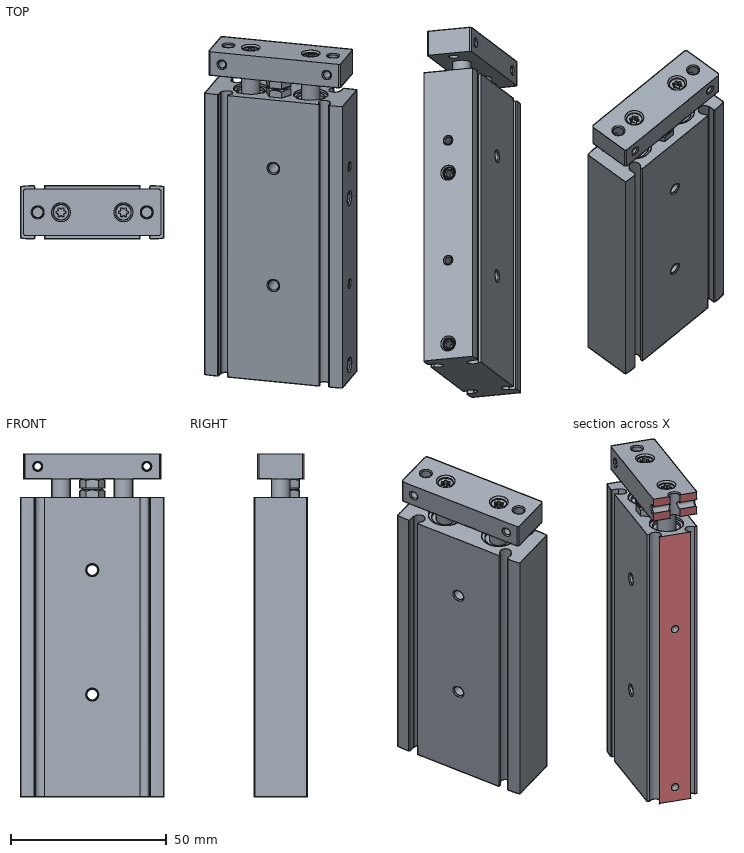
import cadquery as cq
import math


total_height = 110.0
housing_width = 46.0
housing_depth = 17.0
housing_height = 96.0
plate_width = 44.0
plate_depth = 15.0
plate_height = 8.0
plate_corner_chamfer = 0.5
plate_bottom = total_height - plate_height
gap_height = plate_bottom - housing_height

crown_start = 20.1
crown_drop = 0.28

groove_inner_wall = 15.3
groove_outer_wall = 18.4
groove_lip_chamfer = 0.3
groove_bore_diameter = 3.7
groove_bore_x = 16.3
groove_bore_y = 6.0

mount_diameter = 3.4
mount_mouth_diameter = 4.2
lower_mount_z = 32.8
mount_spacing = 39.9
mount_heights = (lower_mount_z, lower_mount_z + mount_spacing)

side_hole_diameter = 2.4
side_hole_mouth_diameter = 3.2
side_hole_depth = 5.0

port_heights = (5.1, 61.9)
port_mouth_diameter = 5.0
port_thread_diameter = 4.0
port_thread_depth = 1.1
port_drill_diameter = 2.4
port_drill_mouth_diameter = 3.2
port_drill_depth = 3.8
drill_half_angle = 59.0

rod_spacing = 20.0
rod_positions = (-rod_spacing / 2, rod_spacing / 2)
rod_diameter = 6.0
rod_insertion = 22.0
rod_end_diameter = 5.0
rod_end_mouth_diameter = 6.0
rod_end_sink = 0.9
socket_core_diameter = 2.2
socket_tip_diameter = 3.2
socket_lobe_diameter = 0.8
socket_lobe_count = 6
socket_depth = 1.6
seal_mouth_diameter = 11.0
seal_mouth_depth = 0.8
seal_seat_diameter = 9.0
seal_seat_depth = 1.6

plate_hole_spacing = 35.0
plate_hole_positions = (-plate_hole_spacing / 2, plate_hole_spacing / 2)
plate_top_hole_diameter = 3.4
plate_top_mouth_diameter = 4.2
plate_cross_hole_diameter = 2.4
plate_cross_mouth_diameter = 3.2

bolt_y = 2.4
hex_across_flats = 7.0
hex_chamfer_diameter = 6.5
hex_chamfer_height = 0.5
nut_height = 3.0
nut_bottom = plate_bottom - nut_height
collar_diameter = 6.5
collar_height = 0.4
bolt_head_height = gap_height - nut_height - collar_height
shank_diameter = 4.0
shank_plate_depth = 4.4


def cylinder_z(x, y, bottom, diameter, height):
    return cq.Workplane("XY", origin=(x, y, bottom)).circle(diameter / 2).extrude(height)


def mouth_cone(origin, inward, mouth_diameter, hole_diameter):
    """A 45-degree countersink that starts at the origin and narrows in the inward direction."""
    depth = (mouth_diameter - hole_diameter) / 2
    return cq.Workplane(obj=cq.Solid.makeCone(
        mouth_diameter / 2, hole_diameter / 2, depth, cq.Vector(*origin), cq.Vector(*inward)
    ))


def countersunk_hole(origin, inward, diameter, mouth_diameter, depth):
    hole = cq.Workplane(obj=cq.Solid.makeCylinder(
        diameter / 2, depth, cq.Vector(*origin), cq.Vector(*inward)
    ))
    return hole.union(mouth_cone(origin, inward, mouth_diameter, diameter))


def through_hole_y(x, z, body_depth, diameter, mouth_diameter):
    """A hole right through along Y, countersunk at both ends."""
    front = (x, -body_depth / 2, z)
    back = (x, body_depth / 2, z)
    hole = countersunk_hole(front, (0, 1, 0), diameter, mouth_diameter, body_depth)
    return hole.union(mouth_cone(back, (0, -1, 0), mouth_diameter, diameter))


def housing_blank():
    """Extruded block whose outer strips curve down to the side faces."""
    half_width = housing_width / 2
    half_depth = housing_depth / 2
    side_y = half_depth - crown_drop
    run = half_width - crown_start
    radius = (run**2 + crown_drop**2) / (2 * crown_drop)
    middle_x = crown_start + run / 2
    middle_y = half_depth - radius + math.sqrt(radius**2 - (run / 2) ** 2)
    return (
        cq.Workplane("XY")
        .moveTo(-crown_start, -half_depth)
        .lineTo(crown_start, -half_depth)
        .threePointArc((middle_x, -middle_y), (half_width, -side_y))
        .lineTo(half_width, side_y)
        .threePointArc((middle_x, middle_y), (crown_start, half_depth))
        .lineTo(-crown_start, half_depth)
        .threePointArc((-middle_x, middle_y), (-half_width, side_y))
        .lineTo(-half_width, -side_y)
        .threePointArc((-middle_x, -middle_y), (-crown_start, -half_depth))
        .close()
        .extrude(housing_height)
    )


def sensor_groove(side_x, side_y):
    """Round groove with a narrower mouth; side_x and side_y are the signs of its quadrant."""
    half_depth = housing_depth / 2
    mouth_points = [
        (groove_inner_wall, groove_bore_y),
        (groove_inner_wall, half_depth),
        (groove_outer_wall + groove_lip_chamfer, half_depth),
        (groove_outer_wall, half_depth - groove_lip_chamfer),
        (groove_outer_wall, groove_bore_y),
    ]
    mouth = (
        cq.Workplane("XY")
        .polyline([(side_x * x, side_y * y) for x, y in mouth_points])
        .close()
        .extrude(housing_height)
    )
    bore_x = side_x * groove_bore_x
    bore_y = side_y * groove_bore_y
    bore = cylinder_z(bore_x, bore_y, 0, groove_bore_diameter, housing_height)
    return mouth.union(bore)


def air_port(z):
    """Blind threaded port with a drilled, cone-ended pilot."""
    face = (-housing_width / 2, 0, z)
    inward = (1, 0, 0)
    thread = countersunk_hole(face, inward, port_thread_diameter, port_mouth_diameter, port_thread_depth)
    thread_floor = (face[0] + port_thread_depth, 0, z)
    drill = countersunk_hole(
        thread_floor, inward, port_drill_diameter, port_drill_mouth_diameter, port_drill_depth
    )
    drill_radius = port_drill_diameter / 2
    tip_height = drill_radius / math.tan(math.radians(drill_half_angle))
    tip_base = cq.Vector(thread_floor[0] + port_drill_depth, 0, z)
    tip = cq.Solid.makeCone(drill_radius, 0, tip_height, tip_base, cq.Vector(*inward))
    return thread.union(drill).union(cq.Workplane(obj=tip))


def rod_seat(x):
    """Stepped seal recess above the bore that the rod fills."""
    mouth = cylinder_z(x, 0, housing_height - seal_mouth_depth, seal_mouth_diameter, seal_mouth_depth)
    seat = cylinder_z(x, 0, housing_height - seal_seat_depth, seal_seat_diameter, seal_seat_depth)
    bore = cylinder_z(x, 0, housing_height - rod_insertion, rod_diameter, rod_insertion)
    return mouth.union(seat).union(bore)


def make_housing():
    body = housing_blank()
    for side_x in (-1, 1):
        for side_y in (-1, 1):
            body = body.cut(sensor_groove(side_x, side_y))
    side_face = -housing_width / 2
    for z in mount_heights:
        body = body.cut(through_hole_y(0, z, housing_depth, mount_diameter, mount_mouth_diameter))
        body = body.cut(countersunk_hole(
            (side_face, 0, z), (1, 0, 0), side_hole_diameter, side_hole_mouth_diameter, side_hole_depth
        ))
    for z in port_heights:
        body = body.cut(air_port(z))
    for x in rod_positions:
        body = body.cut(rod_seat(x))
    return body


def make_end_plate():
    plate = (
        cq.Workplane("XY", origin=(0, 0, plate_bottom))
        .rect(plate_width, plate_depth)
        .extrude(plate_height)
        .edges("|Z")
        .chamfer(plate_corner_chamfer)
    )
    down = (0, 0, -1)
    middle_z = plate_bottom + plate_height / 2
    for x in plate_hole_positions:
        plate = plate.cut(countersunk_hole(
            (x, 0, total_height), down, plate_top_hole_diameter, plate_top_mouth_diameter, plate_height
        ))
        plate = plate.cut(through_hole_y(
            x, middle_z, plate_depth, plate_cross_hole_diameter, plate_cross_mouth_diameter
        ))
    for x in rod_positions:
        plate = plate.cut(countersunk_hole(
            (x, 0, total_height), down, rod_end_diameter, rod_end_mouth_diameter, plate_height
        ))
    return plate.cut(cylinder_z(0, bolt_y, plate_bottom, shank_diameter, shank_plate_depth))


def make_rod(x):
    """Rod that shoulders against the plate; its thinner end in the plate has a six-lobed socket."""
    bottom = housing_height - rod_insertion
    top = total_height - rod_end_sink
    rod = cylinder_z(x, 0, bottom, rod_diameter, plate_bottom - bottom)
    rod = rod.union(cylinder_z(x, 0, plate_bottom, rod_end_diameter, top - plate_bottom))
    socket_bottom = top - socket_depth
    socket = cylinder_z(x, 0, socket_bottom, socket_core_diameter, socket_depth)
    lobe_offset = (socket_tip_diameter - socket_lobe_diameter) / 2
    for index in range(socket_lobe_count):
        angle = 2 * math.pi * index / socket_lobe_count
        lobe_x = x + lobe_offset * math.cos(angle)
        lobe_y = lobe_offset * math.sin(angle)
        socket = socket.union(cylinder_z(lobe_x, lobe_y, socket_bottom, socket_lobe_diameter, socket_depth))
    return rod.cut(socket)


def hexagon(bottom, height):
    """Hexagonal prism with two corners on the X direction and a cone-turned top."""
    across_corners = hex_across_flats / math.cos(math.pi / 6)
    prism = (
        cq.Workplane("XY", origin=(0, bolt_y, bottom))
        .polygon(6, across_corners)
        .extrude(height)
    )
    corner_cut = (across_corners - hex_chamfer_diameter) / 2
    envelope = cylinder_z(0, bolt_y, bottom, across_corners, height)
    envelope = envelope.faces(">Z").edges().chamfer(hex_chamfer_height, corner_cut)
    return prism.intersect(envelope)


def make_stop_bolt():
    """Hexagonal head on the housing, with a collar and a shank up through the nut into the plate."""
    head = hexagon(housing_height, bolt_head_height)
    collar = cylinder_z(0, bolt_y, nut_bottom - collar_height, collar_diameter, collar_height)
    shank = cylinder_z(0, bolt_y, nut_bottom, shank_diameter, nut_height + shank_plate_depth)
    return head.union(collar).union(shank)


def make_lock_nut():
    bore = cylinder_z(0, bolt_y, nut_bottom, shank_diameter, nut_height)
    return hexagon(nut_bottom, nut_height).cut(bore)


housing = make_housing()
end_plate = make_end_plate()
rods = [make_rod(x) for x in rod_positions]
stop_bolt = make_stop_bolt()
lock_nut = make_lock_nut()

result = cq.Compound.makeCompound([
    housing.val(),
    end_plate.val(),
    *[rod.val() for rod in rods],
    stop_bolt.val(),
    lock_nut.val(),
])